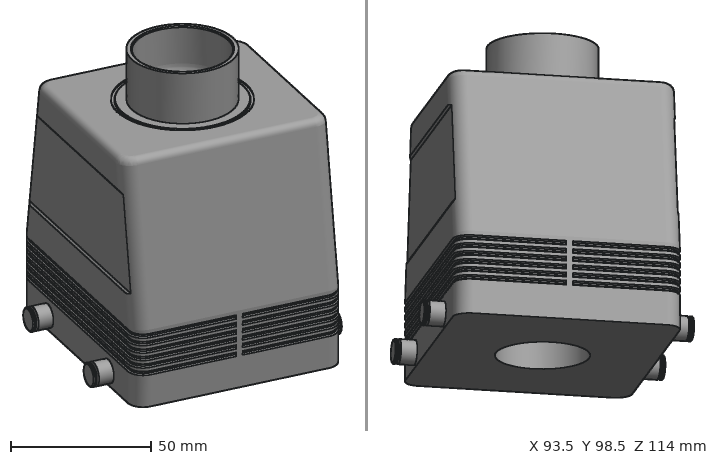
import cadquery as cq

total_height = 114.0
body_length = 93.5
body_depth = 82.8
body_height = 94.0
lean_start_height = 30.7
top_length = 72.3
corner_radius = 6.0
top_edge_radius = 3.0

recess_depth = 0.8
recess_bottom = 43.8
recess_top = 80.4

groove_count = 6
groove_pitch = 3.0
first_groove_height = 13.5
groove_depth = 0.7
groove_width = 1.6
groove_floor_width = 0.7
groove_gap = 2.5

collar_radius = 20.1
bore_radius = 18.0
hole_radius = 17.0
rim_chamfer = 0.5
bore_depth = 14.8
bore_curve_height = 3.0
ring_outer_radius = 25.5
ring_inner_radius = 24.0
ring_floor_inner_radius = 24.4
ring_depth = 0.5

peg_span = 98.5
peg_spacing = 49.5
peg_height = 5.7
peg_radius = 4.6
peg_neck_radius = 2.6
peg_head_thickness = 1.4
peg_neck_length = 0.7
peg_chamfer = 0.5
peg_embed = 1.1


def make_body():
    half_base = body_length / 2
    half_top = top_length / 2
    outline = [
        (-half_base, 0),
        (half_base, 0),
        (half_base, lean_start_height),
        (half_top, body_height),
        (-half_top, body_height),
        (-half_base, lean_start_height),
    ]
    body = cq.Workplane("XZ").polyline(outline).close().extrude(body_depth / 2, both=True)
    corner_edges = body.faces("<Y or >Y").edges("not |X")
    body = corner_edges.fillet(corner_radius)
    return body.faces(">Z").edges().fillet(top_edge_radius)


def make_recess(side):
    """Slab along X that cuts one Y face; side is -1 or +1."""
    face = side * body_depth / 2
    floor = face - side * recess_depth
    outline = [
        (floor, recess_bottom),
        (floor, recess_top),
        (face, recess_top + recess_depth),
        (face, recess_bottom - recess_depth),
    ]
    return cq.Workplane("YZ").polyline(outline).close().extrude(body_length / 2, both=True)


def make_groove(height):
    """One groove swept around the base outline at the given height."""
    base = cq.Workplane("XY").rect(body_length, body_depth).extrude(height)
    loop = base.edges("|Z").fillet(corner_radius).faces(">Z").wires()
    outline = [
        (0, -groove_width / 2),
        (0, groove_width / 2),
        (groove_depth, groove_floor_width / 2),
        (groove_depth, -groove_floor_width / 2),
    ]
    section = cq.Workplane("YZ", origin=(0, -body_depth / 2, height)).polyline(outline).close()
    groove = section.sweep(loop)
    gap = cq.Workplane("XY", origin=(0, 0, height)).box(2 * body_length, groove_gap, 2 * groove_width)
    return groove.cut(gap)


def make_collar():
    top_face = cq.Workplane("XY").workplane(offset=body_height)
    return top_face.circle(collar_radius).extrude(total_height - body_height)


def make_bore():
    """Bore from the rim down, curving inwards to a narrower hole that runs through the body."""
    curve_top = total_height - bore_depth
    return (
        cq.Workplane("XZ")
        .moveTo(0, total_height)
        .lineTo(bore_radius + rim_chamfer, total_height)
        .lineTo(bore_radius, total_height - rim_chamfer)
        .lineTo(bore_radius, curve_top)
        .tangentArcPoint((hole_radius, curve_top - bore_curve_height), relative=False)
        .lineTo(hole_radius, 0)
        .lineTo(0, 0)
        .close()
        .revolve(360, (0, 0, 0), (0, 1, 0))
    )


def make_ring_groove():
    """Ring with an upright outer wall and a tapered inner wall."""
    floor = body_height - ring_depth
    outline = [
        (ring_inner_radius, body_height),
        (ring_floor_inner_radius, floor),
        (ring_outer_radius, floor),
        (ring_outer_radius, body_height),
    ]
    return cq.Workplane("XZ").polyline(outline).close().revolve(360, (0, 0, 0), (0, 1, 0))


def make_peg_pair(x):
    """Two coaxial pegs along Y, one on each face."""
    tip = peg_span / 2
    head_start = tip - peg_head_thickness
    neck_start = head_start - peg_neck_length
    root = body_depth / 2 - peg_embed
    outline = [
        (0, root),
        (peg_radius, root),
        (peg_radius, neck_start),
        (peg_neck_radius, neck_start),
        (peg_neck_radius, head_start),
        (peg_radius - peg_chamfer, head_start),
        (peg_radius, head_start + peg_chamfer),
        (peg_radius, tip - peg_chamfer),
        (peg_radius - peg_chamfer, tip),
        (0, tip),
    ]
    peg = cq.Workplane("XY").polyline(outline).close().revolve(360, (0, 0, 0), (0, 1, 0))
    return peg.union(peg.mirror("XZ")).translate((x, 0, peg_height))


result = make_body()
for side in (-1, 1):
    result = result.cut(make_recess(side))
for index in range(groove_count):
    result = result.cut(make_groove(first_groove_height + index * groove_pitch))
result = result.union(make_collar()).cut(make_bore()).cut(make_ring_groove())
for x in (-peg_spacing / 2, peg_spacing / 2):
    result = result.union(make_peg_pair(x))